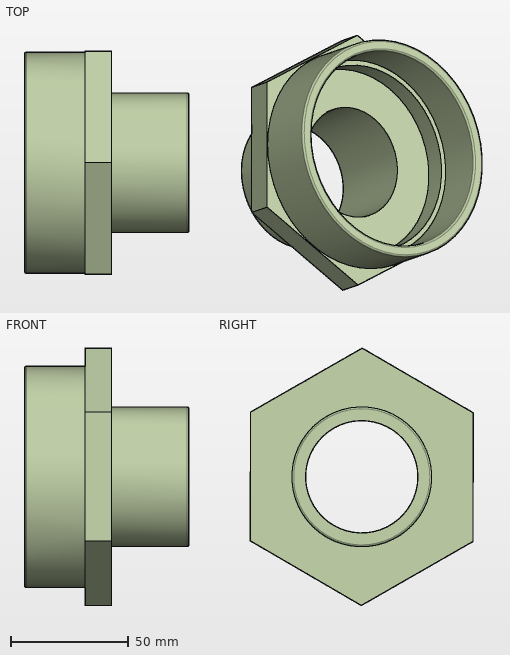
import cadquery as cq

length = 70.0
flange_start = 25.8
flange_thickness = 11.3
socket_bore_depth = 20.8
recess_floor_depth = 30.2

socket_diameter = 94.3
spigot_diameter = 59.6
bore_diameter = 47.7
recess_diameter = 80.6
socket_bore_diameter = 84.9

hex_across_corners = 109.7
hex_turn = -0.2

edge_radius = 0.8


def cylinder(diameter, start, end):
    """Solid cylinder on the X axis between two stations."""
    return cq.Workplane("YZ", origin=(start, 0, 0)).circle(diameter / 2).extrude(end - start)


flange_end = flange_start + flange_thickness
socket = cylinder(socket_diameter, 0, flange_start).faces("<X").fillet(edge_radius)
spigot = cylinder(spigot_diameter, flange_end, length).faces(">X").fillet(edge_radius)
flange = (
    cq.Workplane("YZ", origin=(flange_start, 0, 0))
    .polygon(6, hex_across_corners)
    .extrude(flange_thickness)
    .rotate((0, 0, 0), (1, 0, 0), 90 + hex_turn)
)
body = socket.union(flange).union(spigot)

socket_bore = cylinder(socket_bore_diameter, 0, socket_bore_depth)
recess = cylinder(recess_diameter, socket_bore_depth, recess_floor_depth)
bore = cylinder(bore_diameter, 0, length)
body = body.cut(socket_bore).cut(recess).cut(bore)

mouth_edge = cq.selectors.RadiusNthSelector(0)
result = body.faces("<X").edges(mouth_edge).fillet(edge_radius)